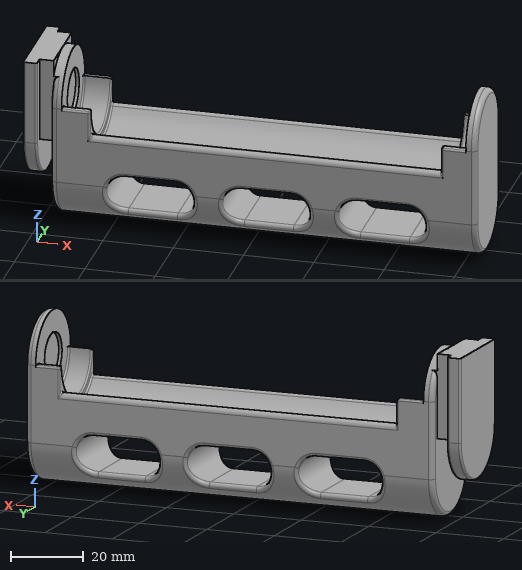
import cadquery as cq
import math

WIDTH = 26.0
OUTER_RADIUS = WIDTH / 2
BODY_START = 8.0
BODY_END = 129.0
SHOULDER_HEIGHT = 35.0
TOTAL_HEIGHT = SHOULDER_HEIGHT + OUTER_RADIUS
END_FILLET = 1.5

PLATE_THICKNESS = 3.0
FIRST_PLATE_INSIDE = BODY_START + PLATE_THICKNESS
SECOND_PLATE_INSIDE = BODY_END - PLATE_THICKNESS
CRADLE_LENGTH = 100.0
CRADLE_CENTER = 69.0
FIRST_SHOULDER_END = CRADLE_CENTER - CRADLE_LENGTH / 2
SECOND_SHOULDER_START = CRADLE_CENTER + CRADLE_LENGTH / 2
SHOULDER_BORE_RADIUS = 11.0
SHOULDER_FILLET = 0.5
CHANNEL_RADIUS = 13.0
RAIL_RADIUS = 1.5
RECESS_DIAMETER = 13.0
RECESS_DEPTH = 1.0

SLOT_COUNT = 3
SLOT_PITCH = 33.0
SLOT_LENGTH = 25.0
SLOT_HEIGHT = 11.0
SLOT_Z = 11.0
SLOT_FILLET = 1.0

FLANGE_THICKNESS = 4.0
STEM_WIDTH = 20.0
STEM_BOTTOM = 24.0
FLANGE_FILLET = 0.6

TOLERANCE = 0.01


def x_cylinder(radius, start, end, height):
    """Cylinder along X with its axis at the given height."""
    plane = cq.Workplane("YZ", origin=(start, 0, height))
    return plane.circle(radius).extrude(end - start)


def box(start, end, width, bottom, top):
    """Block centred on Y between two X positions and two heights."""
    corner = (start, -width / 2, bottom)
    return cq.Workplane("XY").box(end - start, width, top - bottom, centered=False).translate(corner)


def make_body():
    """Stadium-section bar with rounded end faces, left square where the stem joins it."""
    bar = (
        cq.Workplane("YZ", origin=(BODY_START, 0, 0))
        .moveTo(OUTER_RADIUS, OUTER_RADIUS)
        .lineTo(OUTER_RADIUS, SHOULDER_HEIGHT)
        .threePointArc((0, TOTAL_HEIGHT), (-OUTER_RADIUS, SHOULDER_HEIGHT))
        .lineTo(-OUTER_RADIUS, OUTER_RADIUS)
        .threePointArc((0, 0), (OUTER_RADIUS, OUTER_RADIUS))
        .close()
        .extrude(BODY_END - BODY_START)
    )
    stem_root = box(BODY_START, BODY_START + END_FILLET, STEM_WIDTH, STEM_BOTTOM, TOTAL_HEIGHT)
    rounded = bar.faces("<X or >X").edges().fillet(END_FILLET)
    return rounded.union(bar.intersect(stem_root))


def make_channel():
    """Space between the end plates: a round channel whose rims roll over into the side walls."""
    rim_y = OUTER_RADIUS - RAIL_RADIUS
    center_distance = CHANNEL_RADIUS + RAIL_RADIUS
    rim_drop = math.sqrt(center_distance**2 - rim_y**2)
    rim_z = SHOULDER_HEIGHT - rim_drop
    touch_y = rim_y * CHANNEL_RADIUS / center_distance
    touch_z = SHOULDER_HEIGHT - rim_drop * CHANNEL_RADIUS / center_distance
    touch_angle = math.atan2(rim_drop, -rim_y)
    middle_angle = touch_angle / 2
    middle_y = rim_y + RAIL_RADIUS * math.cos(middle_angle)
    middle_z = rim_z + RAIL_RADIUS * math.sin(middle_angle)
    return (
        cq.Workplane("YZ", origin=(FIRST_PLATE_INSIDE, 0, 0))
        .moveTo(OUTER_RADIUS, rim_z)
        .threePointArc((middle_y, middle_z), (touch_y, touch_z))
        .threePointArc((0, SHOULDER_HEIGHT - CHANNEL_RADIUS), (-touch_y, touch_z))
        .threePointArc((-middle_y, middle_z), (-OUTER_RADIUS, rim_z))
        .lineTo(-OUTER_RADIUS, TOTAL_HEIGHT)
        .lineTo(OUTER_RADIUS, TOTAL_HEIGHT)
        .close()
        .extrude(SECOND_PLATE_INSIDE - FIRST_PLATE_INSIDE)
    )


def make_shoulder(plate_x, face_x):
    """Bored block beside an end plate, rounded on its outer top edges and around its free face."""
    start = min(plate_x, face_x)
    end = max(plate_x, face_x)
    inward = ">X" if face_x > plate_x else "<X"
    block = box(start, end, WIDTH, OUTER_RADIUS, SHOULDER_HEIGHT)
    block = block.cut(x_cylinder(SHOULDER_BORE_RADIUS, start, end, SHOULDER_HEIGHT))
    top_edges = block.edges("|X and (>Y or <Y) and >Z")
    face_edges = block.faces(inward).edges("not <Z")
    return block.newObject(top_edges.vals() + face_edges.vals()).fillet(SHOULDER_FILLET)


def round_inside_arc(body, x, radius):
    """Round the inside corner that follows an arc about the bore axis at one X position."""

    def on_arc(edge):
        in_plane = abs(edge.Center().x - x) < TOLERANCE
        return in_plane and edge.geomType() == "CIRCLE" and abs(edge.radius() - radius) < TOLERANCE

    return body.edges().filter(on_arc).fillet(SHOULDER_FILLET)


def make_recesses():
    """Cylinder that leaves a shallow round recess in the inner face of each end plate."""
    start = FIRST_PLATE_INSIDE - RECESS_DEPTH
    end = SECOND_PLATE_INSIDE + RECESS_DEPTH
    return x_cylinder(RECESS_DIAMETER / 2, start, end, SHOULDER_HEIGHT)


def cut_slots(body):
    """Cut the row of slots through the body and round their mouths."""
    for index in range(SLOT_COUNT):
        x = CRADLE_CENTER + (index - (SLOT_COUNT - 1) / 2) * SLOT_PITCH
        cutter = (
            cq.Workplane("XZ", origin=(x, 0, SLOT_Z))
            .slot2D(SLOT_LENGTH, SLOT_HEIGHT)
            .extrude(OUTER_RADIUS, both=True)
        )
        body = body.cut(cutter)
    reach = SLOT_HEIGHT / 2 + SLOT_FILLET / 2
    mouths = cq.selectors.BoxSelector(
        (FIRST_SHOULDER_END, -WIDTH, SLOT_Z - reach),
        (SECOND_SHOULDER_START, WIDTH, SLOT_Z + reach),
    )
    return body.edges(mouths).edges("not |Y").fillet(SLOT_FILLET)


def make_slide():
    """T-shaped mounting slide on the outside of the first end plate."""
    flange = box(0, FLANGE_THICKNESS, WIDTH, STEM_BOTTOM, TOTAL_HEIGHT)
    flange = flange.union(x_cylinder(OUTER_RADIUS, 0, FLANGE_THICKNESS, STEM_BOTTOM))
    flange = flange.faces("<X or >X").edges("not >Z").fillet(FLANGE_FILLET)
    stem = box(FLANGE_THICKNESS, BODY_START, STEM_WIDTH, STEM_BOTTOM, TOTAL_HEIGHT)
    return flange.union(stem)


body = make_body().cut(make_channel())
body = body.union(make_shoulder(FIRST_PLATE_INSIDE, FIRST_SHOULDER_END))
body = body.union(make_shoulder(SECOND_PLATE_INSIDE, SECOND_SHOULDER_START))
body = round_inside_arc(body, FIRST_PLATE_INSIDE, SHOULDER_BORE_RADIUS)
body = round_inside_arc(body, SECOND_PLATE_INSIDE, SHOULDER_BORE_RADIUS)
body = round_inside_arc(body, FIRST_SHOULDER_END, CHANNEL_RADIUS)
body = round_inside_arc(body, SECOND_SHOULDER_START, CHANNEL_RADIUS)
body = cut_slots(body)
result = body.union(make_slide()).cut(make_recesses())